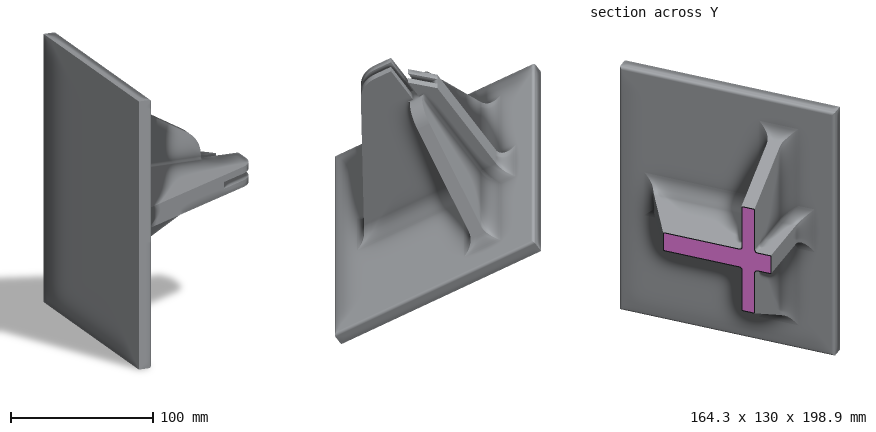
import cadquery as cq
import math

plate_margin = 25.0
plate_thickness = 10.0
plate_edge_radius = 2.0

slope_angle = math.radians(60.0)

gusset_thickness = 15.0
gusset_reach = 130.0
gusset_top_width = 45.0
gusset_corner_radius = 20.0

rib_thickness = 10.0
rib_reach = 100.0
rib_top_width = 45.0
rib_corner_radius = 20.0

prong_width = 15.0
slot_width = 5.0
gap_width = 5.0

web_fillet_radius = 2.0
base_fillet_radius = 10.0

gusset_run = (gusset_reach - plate_thickness) / math.tan(slope_angle)
rib_run = (rib_reach - plate_thickness) / math.tan(slope_angle)
gusset_base_width = gusset_top_width + gusset_run
rib_base_width = rib_top_width + 2 * rib_run
plate_width = gusset_base_width + 2 * plate_margin
plate_height = rib_base_width + 2 * plate_margin

gusset_left = plate_margin
prong_right = gusset_left + prong_width
slot_center = prong_right + slot_width / 2
prong_length = gusset_reach - rib_reach
mid_z = plate_height / 2


def make_plate():
    """Plate with its back rim rounded; the front face stays sharp."""
    plate = cq.Workplane("XY").box(plate_width, plate_thickness, plate_height, centered=False)
    return plate.faces(">Y").edges().fillet(plate_edge_radius)


def make_gusset():
    """Web with one sloped side and, on the other, a 45-degree cut tip for the narrow prongs."""
    gusset_right = gusset_left + gusset_base_width
    top_right = gusset_left + gusset_top_width
    outline = [
        (gusset_left, plate_thickness),
        (gusset_right, plate_thickness),
        (top_right, gusset_reach),
        (prong_right, gusset_reach),
        (prong_right, rib_reach + prong_width),
        (gusset_left, rib_reach),
    ]
    gusset = (
        cq.Workplane("XY", origin=(0, 0, mid_z - gusset_thickness / 2))
        .polyline(outline)
        .close()
        .extrude(gusset_thickness)
    )
    corner = cq.selectors.NearestToPointSelector((top_right, gusset_reach, mid_z))
    return gusset.edges("|Z").edges(corner).fillet(gusset_corner_radius)


def make_rib():
    """Symmetrical web with both sides sloped and both outer corners rounded."""
    outline = [
        (plate_thickness, mid_z - rib_base_width / 2),
        (rib_reach, mid_z - rib_top_width / 2),
        (rib_reach, mid_z + rib_top_width / 2),
        (plate_thickness, mid_z + rib_base_width / 2),
    ]
    rib = (
        cq.Workplane("YZ", origin=(slot_center - rib_thickness / 2, 0, 0))
        .polyline(outline)
        .close()
        .extrude(rib_thickness)
    )
    return rib.edges("|X and >Y").fillet(rib_corner_radius)


def cut_prongs(body):
    """Split the gusset beyond the rib into four prongs."""
    slot = cq.Workplane("XY").box(slot_width, prong_length, gusset_thickness, centered=(True, False, True))
    gap = cq.Workplane("XY").box(gusset_base_width, prong_length, gap_width, centered=(False, False, True))
    body = body.cut(slot.translate((slot_center, rib_reach, mid_z)))
    return body.cut(gap.translate((gusset_left, rib_reach, mid_z)))


def blend_base(body):
    """Fillet the outline where the webs stand on the back face of the plate."""
    inset = plate_margin / 2
    half_depth = plate_edge_radius / 2
    foot = cq.selectors.BoxSelector(
        (inset, plate_thickness - half_depth, inset),
        (plate_width - inset, plate_thickness + half_depth, plate_height - inset),
        boundingbox=True,
    )
    return body.edges(foot).fillet(base_fillet_radius)


def blend_webs(body):
    """Fillet the four inside corners where the rib crosses the gusset, down to the plate."""
    reach = rib_thickness / 2 + web_fillet_radius / 2
    half_height = gusset_thickness / 2 + web_fillet_radius / 2
    corners = cq.selectors.BoxSelector(
        (slot_center - reach, plate_thickness, mid_z - half_height),
        (slot_center + reach, rib_reach - web_fillet_radius, mid_z + half_height),
    )
    return body.edges("|Y").edges(corners).fillet(web_fillet_radius)


body = make_plate().union(make_gusset()).union(make_rib())
result = cut_prongs(blend_webs(blend_base(body)))